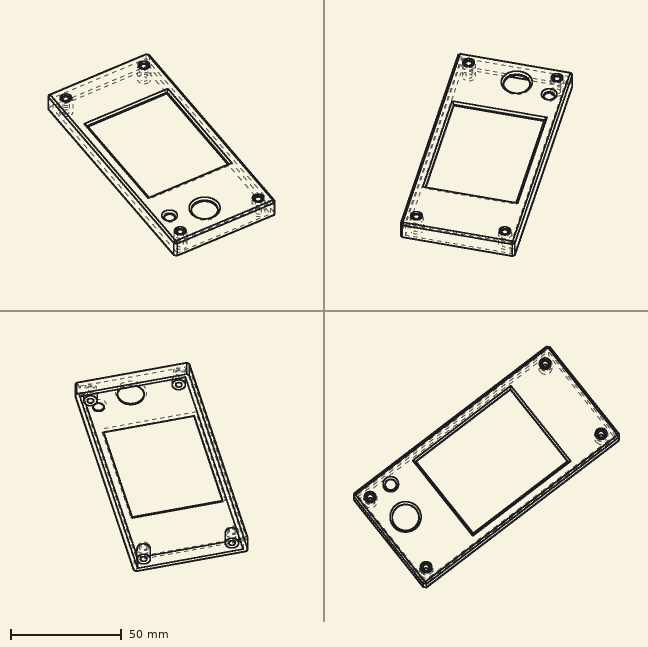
import cadquery as cq

LENGTH = 112.0
WIDTH = 53.0
HEIGHT = 8.6
EDGE_CHAMFER = 1.0

SIDE_WALL = 2.0
END_WALL = 1.7
PLATE = 1.7
CAVITY_DEPTH = HEIGHT - PLATE

OPENING_CHAMFER = 1.0
BEVEL_ANGLE = 45.0

WINDOW_LENGTH = 54.0
WINDOW_WIDTH = 42.0
WINDOW_X = -3.0

ROUND_OPENINGS = [(43.5, -3.5, 12.0), (39.5, -19.5, 5.0)]

SCREW_PITCH_X = 100.0
SCREW_PITCH_Y = 41.0
SCREW_PATTERN_X = 0.5
SCREW_DIAMETER = 2.8
SCREW_POINTS = [
    (SCREW_PATTERN_X + side_x * SCREW_PITCH_X / 2, side_y * SCREW_PITCH_Y / 2)
    for side_x in (-1, 1)
    for side_y in (-1, 1)
]
SINK_FLOOR_DIAMETER = 4.0
SINK_DEPTH = 0.6
SINK_TOP_DIAMETER = SINK_FLOOR_DIAMETER + 2 * SINK_DEPTH
POST_DIAMETER = 6.0


def make_shell():
    """Chamfered block, hollowed from below."""
    block = cq.Workplane("XY").box(LENGTH, WIDTH, HEIGHT, centered=(True, True, False))
    block = block.edges("|Z").chamfer(EDGE_CHAMFER)
    block = block.faces(">Z").edges().chamfer(EDGE_CHAMFER)
    cavity = cq.Workplane("XY").box(
        LENGTH - 2 * END_WALL, WIDTH - 2 * SIDE_WALL, CAVITY_DEPTH, centered=(True, True, False)
    )
    return block.cut(cavity)


def cone(x, y, top_diameter, floor_diameter, depth):
    """Tapered sink, narrowing downwards from the top face."""
    solid = cq.Solid.makeCone(
        floor_diameter / 2, top_diameter / 2, depth, cq.Vector(x, y, HEIGHT - depth)
    )
    return cq.Workplane(obj=solid)


def cut_window(body):
    """Rectangular window with a bevelled upper rim."""
    opening = cq.Workplane("XY").center(WINDOW_X, 0).rect(WINDOW_LENGTH, WINDOW_WIDTH).extrude(HEIGHT)
    bevel = (
        cq.Workplane("XY", origin=(WINDOW_X, 0, HEIGHT))
        .rect(WINDOW_LENGTH + 2 * OPENING_CHAMFER, WINDOW_WIDTH + 2 * OPENING_CHAMFER)
        .extrude(-OPENING_CHAMFER, taper=BEVEL_ANGLE)
    )
    return body.cut(opening).cut(bevel)


def cut_round_openings(body):
    """Round openings with a bevelled upper rim."""
    for x, y, diameter in ROUND_OPENINGS:
        body = body.cut(cq.Workplane("XY").center(x, y).circle(diameter / 2).extrude(HEIGHT))
        body = body.cut(cone(x, y, diameter + 2 * OPENING_CHAMFER, diameter, OPENING_CHAMFER))
    return body


def add_screw_posts(body):
    """Corner posts inside the cavity, each with a through hole and a tapered sink."""
    posts = cq.Workplane("XY").pushPoints(SCREW_POINTS).circle(POST_DIAMETER / 2).extrude(CAVITY_DEPTH)
    holes = cq.Workplane("XY").pushPoints(SCREW_POINTS).circle(SCREW_DIAMETER / 2).extrude(HEIGHT)
    body = body.union(posts).cut(holes)
    for x, y in SCREW_POINTS:
        body = body.cut(cone(x, y, SINK_TOP_DIAMETER, SINK_FLOOR_DIAMETER, SINK_DEPTH))
    return body


panel = make_shell()
panel = cut_window(panel)
panel = cut_round_openings(panel)
panel = add_screw_posts(panel)
result = cq.Workplane(obj=panel.solids().val())